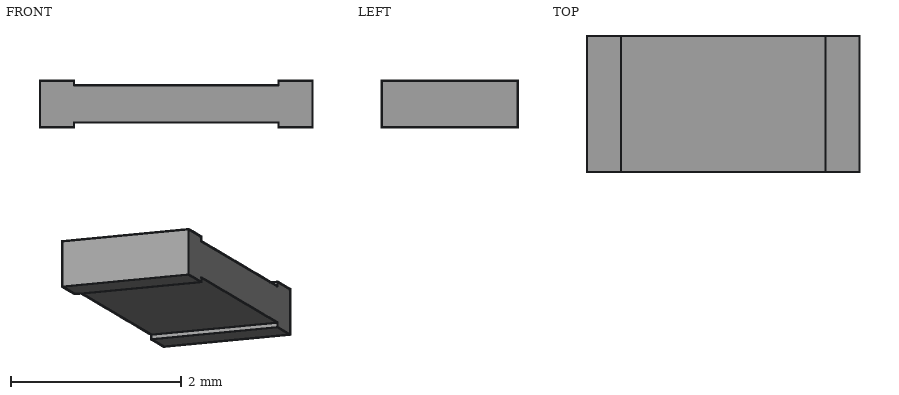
import cadquery as cq

length = 3.2
width = 1.6
height = 0.55
terminal_length = 0.4
terminal_step = 0.055

body_length = length - 2 * terminal_length
body_height = height - 2 * terminal_step


def make_body():
    """Central body, spanning the gap between the terminals."""
    return cq.Workplane("XY").box(body_length, width, body_height)


def make_terminal(side):
    """Full-height end block; side is -1 for the -X end and +1 for the +X end."""
    center_x = side * (length - terminal_length) / 2
    return cq.Workplane("XY").box(terminal_length, width, height).translate((center_x, 0, 0))


part = make_body()
for end in (-1, 1):
    part = part.union(make_terminal(end))

result = part.clean().translate((0, 0, height / 2))